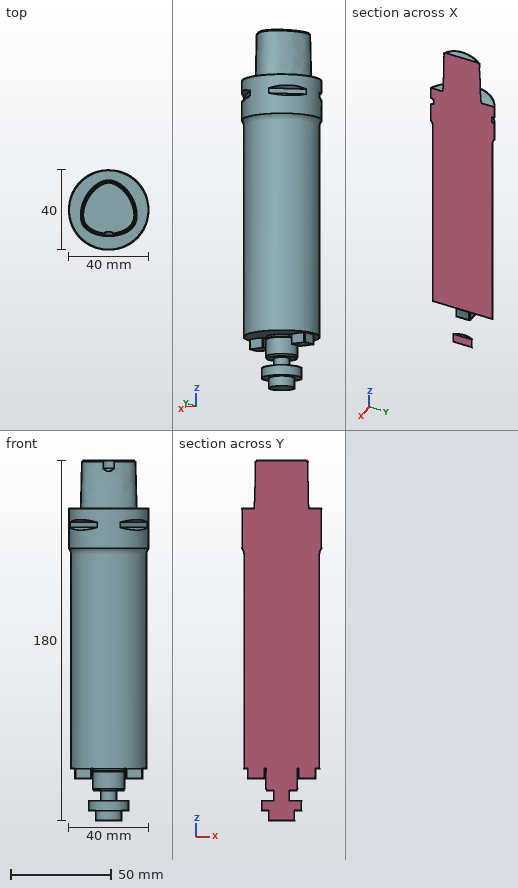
import cadquery as cq
import math


SHANK_LENGTH = 24.0
SHANK_BASE_RADIUS = 14.05
LOBE_HEIGHT = 0.85
TAPER_PER_SIDE = 1 / 40
SHANK_CHAMFER = 0.8
OUTLINE_POINTS = 48

NOTCH_DIAMETER = 6.4
NOTCH_WALL_Y = -10.8
NOTCH_SHOULDER_Z = 20.0
NOTCH_FLOOR_SLOPE = 38.0

FLANGE_DIAMETER = 40.0
FLANGE_HEIGHT = 20.0
FLANGE_CHAMFER = 0.25
GROOVE_COUNT = 4
GROOVE_FIRST_ANGLE = 45.0
GROOVE_CENTER_Z = -8.25
GROOVE_FLOOR_HEIGHT = 2.5
GROOVE_FLOOR_RADIUS = 17.6
GROOVE_FLANK_ANGLE = 30.0
GROOVE_LENGTH = 30.0

BODY_DIAMETER = 38.0
BODY_END_Z = -130.0
BODY_FILLET = 4.0

SPIGOT_DIAMETER = 16.0
SPIGOT_LENGTH = 11.0
NECK_DIAMETER = 15.6
NECK_LENGTH = 1.0
NECK_RUNOUT = 0.5
SPIGOT_CHAMFER_WIDTH = 0.5
SPIGOT_CHAMFER_HEIGHT = 1.0

SCREW_DIAMETER = 8.0
SCREW_LENGTH = 5.0
WASHER_DIAMETER = 20.0
WASHER_HEIGHT = 5.0
HEAD_DIAMETER = 13.0
HEAD_HEIGHT = 5.0

KEY_INNER_X = 8.5
KEY_OUTER_X = 17.0
KEY_WIDTH = 8.0
KEY_HEIGHT = 5.0
KEY_CHAMFER = 0.5


def shank_outline(mean_radius):
    """Points of a constant-width three-lobed curve, with one lobe toward +Y."""
    points = []
    for i in range(OUTLINE_POINTS):
        angle = 2 * math.pi * i / OUTLINE_POINTS
        lobe_angle = 3 * (angle - math.pi / 2)
        reach = mean_radius + LOBE_HEIGHT * math.cos(lobe_angle)
        shift = -3 * LOBE_HEIGHT * math.sin(lobe_angle)
        x = reach * math.cos(angle) - shift * math.sin(angle)
        y = reach * math.sin(angle) + shift * math.cos(angle)
        points.append((x, y))
    return points


def shank_section(z_low, radius_low, z_high, radius_high):
    """Straight-sided loft between two polygon outlines."""
    return (
        cq.Workplane("XY", origin=(0, 0, z_low))
        .spline(shank_outline(radius_low), periodic=True).close()
        .workplane(offset=z_high - z_low)
        .spline(shank_outline(radius_high), periodic=True).close()
        .loft(ruled=True)
    )


def make_shank():
    chamfer_z = SHANK_LENGTH - SHANK_CHAMFER
    chamfer_radius = SHANK_BASE_RADIUS - chamfer_z * TAPER_PER_SIDE
    taper = shank_section(0, SHANK_BASE_RADIUS, chamfer_z, chamfer_radius)
    tip = shank_section(chamfer_z, chamfer_radius, SHANK_LENGTH, chamfer_radius - SHANK_CHAMFER)
    return taper.union(tip)


def make_notch():
    """Vertical drill shape: a cylinder with a conical point."""
    radius = NOTCH_DIAMETER / 2
    point_depth = radius * math.tan(math.radians(NOTCH_FLOOR_SLOPE))
    profile = (
        cq.Workplane("XZ")
        .moveTo(0, NOTCH_SHOULDER_Z - point_depth)
        .lineTo(radius, NOTCH_SHOULDER_Z)
        .lineTo(radius, SHANK_LENGTH)
        .lineTo(0, SHANK_LENGTH)
        .close()
    )
    drill = profile.revolve(360, (0, 0, 0), (0, 1, 0))
    return drill.translate((0, NOTCH_WALL_Y - radius, 0))


def make_turned_body():
    """Flange, body, spigot and screw as one revolved profile."""
    flange_r = FLANGE_DIAMETER / 2
    body_r = BODY_DIAMETER / 2
    neck_r = NECK_DIAMETER / 2
    spigot_r = SPIGOT_DIAMETER / 2
    screw_r = SCREW_DIAMETER / 2
    washer_r = WASHER_DIAMETER / 2
    head_r = HEAD_DIAMETER / 2

    neck_end = BODY_END_Z - NECK_LENGTH
    spigot_end = BODY_END_Z - SPIGOT_LENGTH
    screw_end = spigot_end - SCREW_LENGTH
    washer_end = screw_end - WASHER_HEIGHT
    head_end = washer_end - HEAD_HEIGHT

    sweep = math.acos(1 - (flange_r - body_r) / BODY_FILLET)
    fillet_end = -FLANGE_HEIGHT - BODY_FILLET * math.sin(sweep)
    fillet_middle = (
        body_r + BODY_FILLET * (1 - math.cos(sweep / 2)),
        fillet_end + BODY_FILLET * math.sin(sweep / 2),
    )

    profile = (
        cq.Workplane("XZ")
        .moveTo(0, 0)
        .lineTo(flange_r - FLANGE_CHAMFER, 0)
        .lineTo(flange_r, -FLANGE_CHAMFER)
        .lineTo(flange_r, -FLANGE_HEIGHT)
        .threePointArc(fillet_middle, (body_r, fillet_end))
        .lineTo(body_r, BODY_END_Z)
        .lineTo(neck_r, BODY_END_Z)
        .lineTo(neck_r, neck_end)
        .lineTo(spigot_r, neck_end - NECK_RUNOUT)
        .lineTo(spigot_r, spigot_end + SPIGOT_CHAMFER_HEIGHT)
        .lineTo(spigot_r - SPIGOT_CHAMFER_WIDTH, spigot_end)
        .lineTo(screw_r, spigot_end)
        .lineTo(screw_r, screw_end)
        .lineTo(washer_r, screw_end)
        .lineTo(washer_r, washer_end)
        .lineTo(head_r, washer_end)
        .lineTo(head_r, head_end)
        .lineTo(0, head_end)
        .close()
    )
    return profile.revolve(360, (0, 0, 0), (0, 1, 0))


def make_groove(angle):
    """Straight groove with a flat floor and flanks that open outward."""
    depth = FLANGE_DIAMETER / 2 - GROOVE_FLOOR_RADIUS
    half_floor = GROOVE_FLOOR_HEIGHT / 2
    half_mouth = half_floor + depth * math.tan(math.radians(GROOVE_FLANK_ANGLE))
    mouth_radius = GROOVE_FLOOR_RADIUS + depth
    groove = (
        cq.Workplane("XZ")
        .moveTo(GROOVE_FLOOR_RADIUS, GROOVE_CENTER_Z - half_floor)
        .lineTo(mouth_radius, GROOVE_CENTER_Z - half_mouth)
        .lineTo(mouth_radius, GROOVE_CENTER_Z + half_mouth)
        .lineTo(GROOVE_FLOOR_RADIUS, GROOVE_CENTER_Z + half_floor)
        .close()
        .extrude(GROOVE_LENGTH / 2, both=True)
    )
    return groove.rotate((0, 0, 0), (0, 0, 1), angle)


def make_key(side):
    """Drive key with its upright edges chamfered; side is +1 or -1 along X."""
    length = KEY_OUTER_X - KEY_INNER_X
    center_x = side * (KEY_INNER_X + KEY_OUTER_X) / 2
    return (
        cq.Workplane("XY", origin=(center_x, 0, BODY_END_Z))
        .rect(length, KEY_WIDTH)
        .extrude(-KEY_HEIGHT)
        .edges("|Z")
        .chamfer(KEY_CHAMFER)
    )


result = make_turned_body().union(make_shank().cut(make_notch()))

for i in range(GROOVE_COUNT):
    result = result.cut(make_groove(GROOVE_FIRST_ANGLE + i * 360 / GROOVE_COUNT))

for side in (-1, 1):
    result = result.union(make_key(side))